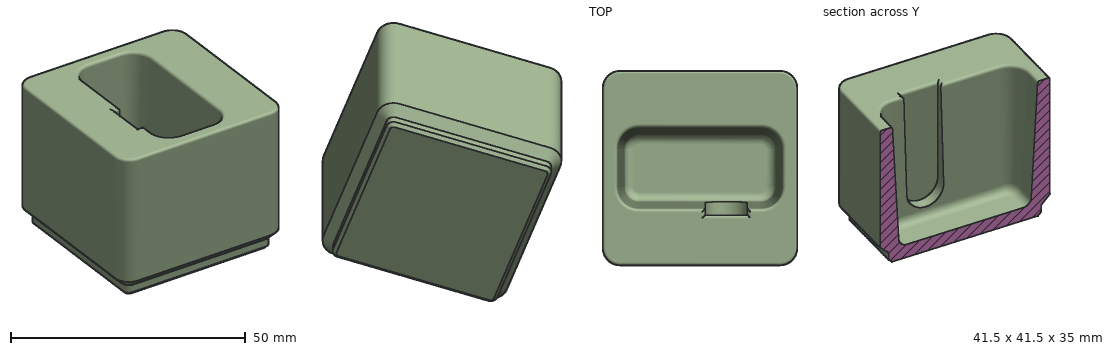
import cadquery as cq

side = 41.5
height = 35.0
corner_radius = 3.75
top_edge_radius = 0.62

foot_chamfer = 0.8
band_height = 1.8
shoulder_chamfer = 2.15

mouth_length = 35.28
mouth_width = 17.35
mouth_corner_radius = 4.6
pocket_depth = 31.55
pocket_draft = 3.0
floor_radius = 1.95
rim_radius = 0.75

relief_width = 9.0
relief_center_x = 5.6
relief_back_y = -10.0
relief_depth = 29.05


def rounded_slab(length, width, radius, base_z, thickness):
    """Upright rounded-corner block centred on the Z axis."""
    slab = cq.Workplane("XY").workplane(offset=base_z).rect(length, width).extrude(thickness)
    return slab.edges("|Z").fillet(radius)


def make_body():
    """Block with a rounded top edge and a foot that steps in below it."""
    band_side = side - 2 * shoulder_chamfer
    band_radius = corner_radius - shoulder_chamfer
    block_z = foot_chamfer + band_height
    block = rounded_slab(side, side, corner_radius, block_z, height - block_z)
    block = block.faces("<Z").edges().chamfer(shoulder_chamfer)
    block = block.faces(">Z").edges().fillet(top_edge_radius)
    foot = rounded_slab(band_side, band_side, band_radius, 0, block_z)
    foot = foot.faces("<Z").edges().chamfer(foot_chamfer)
    return block.union(foot)


def make_pocket():
    """Pocket volume that narrows downwards to a rounded floor edge."""
    mouth = cq.Sketch().rect(mouth_length, mouth_width).vertices().fillet(mouth_corner_radius)
    pocket = (
        cq.Workplane("XY", origin=(0, 0, height))
        .placeSketch(mouth)
        .extrude(-pocket_depth, taper=pocket_draft)
    )
    return pocket.faces("<Z").edges().fillet(floor_radius)


def make_relief():
    """Upright slot with a half-round bottom, running from its back wall to the pocket middle."""
    radius = relief_width / 2
    bottom_z = height - relief_depth
    return (
        cq.Workplane("XZ", origin=(relief_center_x, 0, 0))
        .moveTo(-radius, height)
        .lineTo(-radius, bottom_z + radius)
        .threePointArc((0, bottom_z), (radius, bottom_z + radius))
        .lineTo(radius, height)
        .close()
        .extrude(-relief_back_y)
    )


def round_rim(hollow):
    """Fillet the cavity's edge on the top face, leaving the outer edge as it is."""
    top_face = hollow.faces(">Z").val()
    rim = top_face.innerWires()[0]
    return hollow.newObject(rim.Edges()).fillet(rim_radius)


cavity = make_pocket().union(make_relief())
result = round_rim(make_body().cut(cavity))